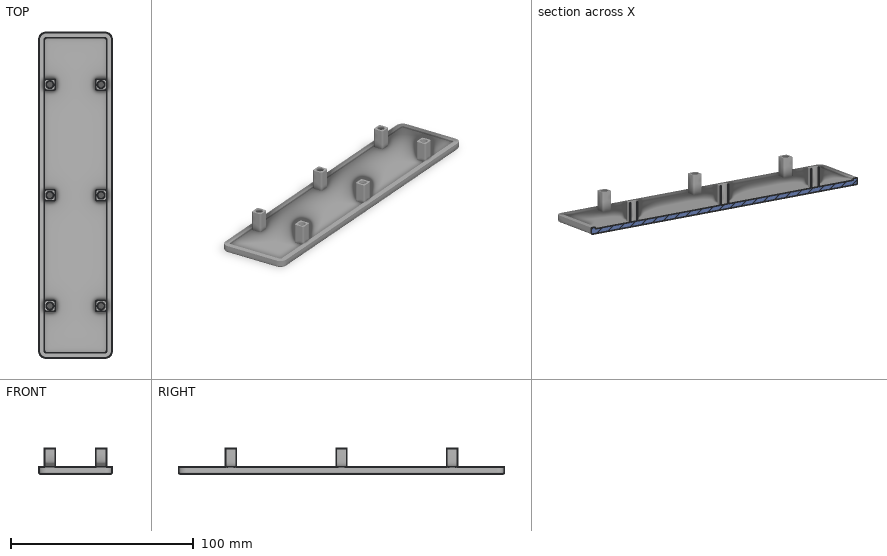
import cadquery as cq

plate_width = 40.0
plate_length = 178.0
plate_thickness = 4.0
plate_corner_radius = 4.0
bottom_edge_radius = 1.0

rim_width = 3.0
recess_depth = 1.0
recess_corner_radius = 1.0

overall_height = 14.0
post_side = 6.0
post_corner_radius = 1.0
post_hole_diameter = 4.0
post_row_pitch = 60.5

recess_width = plate_width - 2 * rim_width
recess_length = plate_length - 2 * rim_width
recess_floor = plate_thickness - recess_depth
post_height = overall_height - recess_floor
post_column_pitch = recess_width - post_side


def rounded_block(width, length, height, corner_radius, base_z):
    """Block centred on the Z axis with rounded vertical edges."""
    block = cq.Workplane("XY").workplane(offset=base_z).rect(width, length).extrude(height)
    return block.edges("|Z").fillet(corner_radius)


def make_plate():
    """Rounded plate with a rounded bottom edge and a recessed top."""
    plate = rounded_block(plate_width, plate_length, plate_thickness, plate_corner_radius, 0)
    plate = plate.faces("<Z").edges().fillet(bottom_edge_radius)
    recess = rounded_block(recess_width, recess_length, recess_depth, recess_corner_radius, recess_floor)
    return plate.cut(recess)


def make_post():
    """Square post with a round bore that ends at the recess floor."""
    post = rounded_block(post_side, post_side, post_height, post_corner_radius, recess_floor)
    return post.faces(">Z").workplane().hole(post_hole_diameter, post_height)


result = make_plate()
for column in (-1, 1):
    for row in (-1, 0, 1):
        post_center = (column * post_column_pitch / 2, row * post_row_pitch, 0)
        result = result.union(make_post().translate(post_center))